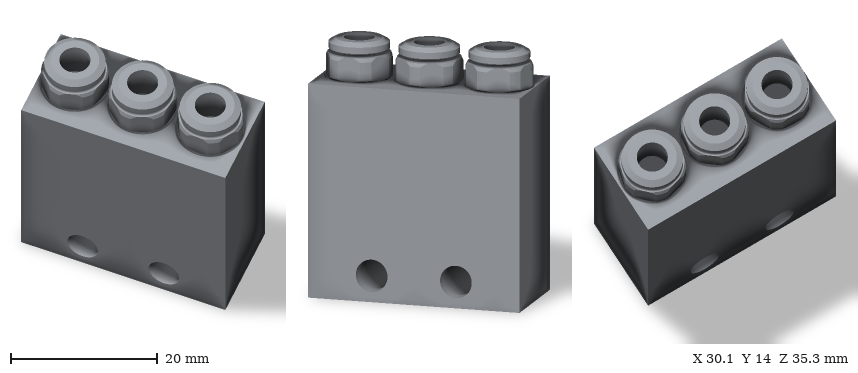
import cadquery as cq
import math

block_length = 30.1
block_width = 14.0
block_height = 30
total_height = 35.3

cross_hole_diameter = 4.52
cross_hole_spacing = 12
cross_hole_height = 3.7

first_fitting_inset = 5.0
fitting_pitch = 10.0
nut_turns = (15.3, 21.5, -2)
fitting_height = total_height - block_height

recess_radius = 4.85
recess_depth = 0.32

nut_corner_radius = 4.62
nut_flat_distance = 4.35
nut_height = 3.3
nut_top_radius = 4.38
nut_top_bevel_height = 0.53
nut_bottom_bevel_start = 0.15

neck_bottom_radius = 2.82
neck_top_radius = 3.1
collar_radius = 4.2
collar_top_radius = 3.32
collar_height = 1.6
collar_top_bevel_height = 0.53
collar_bottom_bevel = 0.18

bore_radius = 2.12
bore_depth = fitting_height


def revolved(profile):
    """Turn a closed (radius, height) outline about the Z axis."""
    return cq.Workplane("XZ").polyline(profile).close().revolve(360, (0, 0), (0, 1))


def make_recess():
    return revolved([
        (0, 0),
        (recess_radius, 0),
        (recess_radius - recess_depth, -recess_depth),
        (0, -recess_depth),
    ])


def make_nut(turn):
    bottom_bevel = nut_bottom_bevel_start + recess_depth
    body = revolved([
        (0, -recess_depth),
        (nut_corner_radius - bottom_bevel, -recess_depth),
        (nut_corner_radius, nut_bottom_bevel_start),
        (nut_corner_radius, nut_height - nut_top_bevel_height),
        (nut_top_radius, nut_height),
        (0, nut_height),
    ])
    across_corners = 2 * nut_flat_distance / math.cos(math.pi / 6)
    hexagon = (
        cq.Workplane("XY", origin=(0, 0, -recess_depth))
        .polygon(6, across_corners)
        .extrude(recess_depth + nut_height)
    )
    return body.intersect(hexagon).rotate((0, 0, 0), (0, 0, 1), turn)


def make_neck_and_collar():
    collar_bottom = fitting_height - collar_height
    return revolved([
        (0, nut_height),
        (neck_bottom_radius, nut_height),
        (neck_top_radius, collar_bottom),
        (collar_radius - collar_bottom_bevel, collar_bottom),
        (collar_radius, collar_bottom + collar_bottom_bevel),
        (collar_radius, fitting_height - collar_top_bevel_height),
        (collar_top_radius, fitting_height),
        (0, fitting_height),
    ])


def make_bore():
    return (
        cq.Workplane("XY", origin=(0, 0, fitting_height))
        .circle(bore_radius)
        .extrude(-bore_depth)
    )


block = cq.Workplane("XY").box(block_length, block_width, block_height, centered=(True, True, False))

cross_holes = (
    cq.Workplane("XZ")
    .pushPoints([(side * cross_hole_spacing / 2, cross_hole_height) for side in (-1, 1)])
    .circle(cross_hole_diameter / 2)
    .extrude(block_width / 2, both=True)
)
result = block.cut(cross_holes)

for index, turn in enumerate(nut_turns):
    fitting_x = first_fitting_inset + index * fitting_pitch - block_length / 2
    seat = (fitting_x, 0, block_height)
    fitting = make_nut(turn).union(make_neck_and_collar()).cut(make_bore())
    result = result.cut(make_recess().translate(seat)).union(fitting.translate(seat))